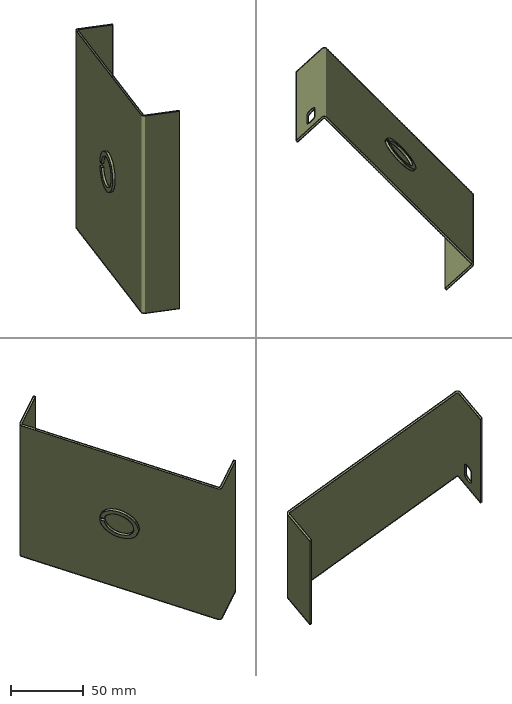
import cadquery as cq

width = 149.9
height = 149.9
flange_depth = 27.0
sheet = 1.5
bend_outer_radius = 2.2
bend_inner_radius = bend_outer_radius - sheet

ring_height = 1.8
ring_outer_radius = 14.4
ring_inner_radius = 11.0
ring_gap = 3.0

slot_length = 25.5
slot_width = 7.2
slot_from_free_edge = 14.1
slot_from_bottom = 25.3


def make_channel():
    """U-shaped sheet with rounded bends, flanges pointing to +Y."""
    outer = (
        cq.Workplane("XY")
        .box(width, flange_depth, height, centered=(True, False, True))
        .edges("|Z and <Y")
        .fillet(bend_outer_radius)
    )
    inner = (
        cq.Workplane("XY")
        .box(width - 2 * sheet, flange_depth, height, centered=(True, False, True))
        .edges("|Z and <Y")
        .fillet(bend_inner_radius)
        .translate((0, sheet, 0))
    )
    return outer.cut(inner)


def make_split_ring():
    """Flat ring facing -Y with a parallel-sided gap on its -X side."""
    ring = (
        cq.Workplane("XZ")
        .circle(ring_outer_radius)
        .circle(ring_inner_radius)
        .extrude(ring_height)
    )
    gap = (
        cq.Workplane("XZ")
        .center(-ring_outer_radius, 0)
        .rect(2 * ring_outer_radius, ring_gap)
        .extrude(ring_height)
    )
    return ring.cut(gap)


def make_slot_cutter():
    """Upright round-ended slot through the -X flange only."""
    return (
        cq.Workplane("YZ", origin=(-width / 2, 0, 0))
        .center(flange_depth - slot_from_free_edge, slot_from_bottom - height / 2)
        .slot2D(slot_length, slot_width, 90)
        .extrude(2 * sheet)
    )


result = make_channel().cut(make_slot_cutter()).union(make_split_ring())